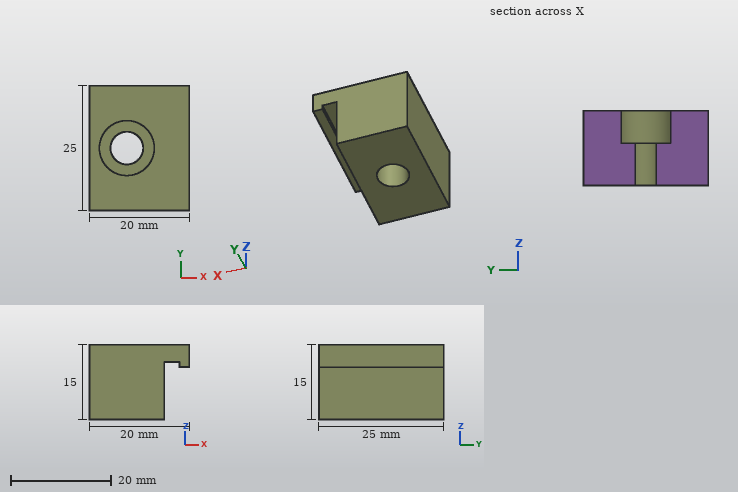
import cadquery as cq

length_x = 20.0
width_y = 25.0
height_z = 15.0

body_length = 15.0
ledge_thickness = 3.5
lip_length = 2.0
lip_height = 4.5

hole_diameter = 6.5
counterbore_diameter = 11.0
counterbore_depth = 6.5

ledge_underside = height_z - ledge_thickness
lip_underside = height_z - lip_height
lip_start = length_x - lip_length

profile = [
    (0, 0),
    (body_length, 0),
    (body_length, ledge_underside),
    (lip_start, ledge_underside),
    (lip_start, lip_underside),
    (length_x, lip_underside),
    (length_x, height_z),
    (0, height_z),
]
block = cq.Workplane("XZ").polyline(profile).close().extrude(width_y / 2, both=True)

result = (
    block.faces(">Z")
    .workplane(origin=(body_length / 2, 0, height_z))
    .cboreHole(hole_diameter, counterbore_diameter, counterbore_depth)
)